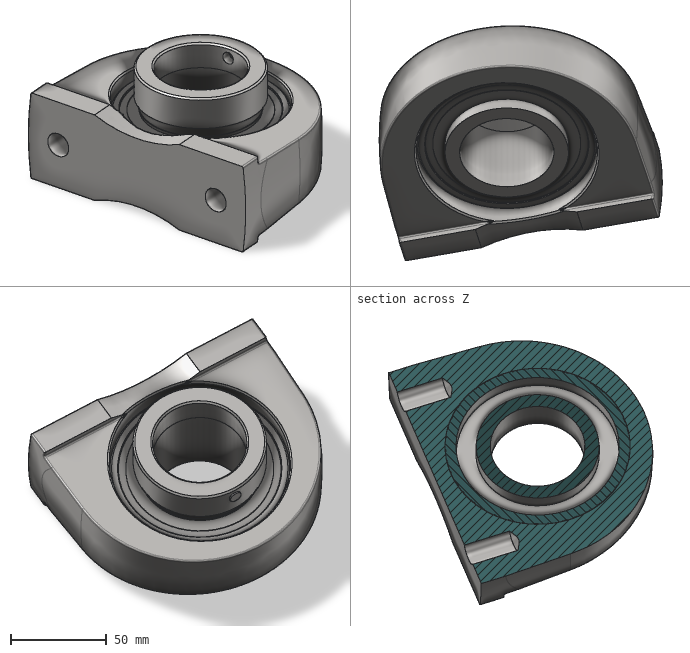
import cadquery as cq
import math


FOOT_WIDTH = 140.0
SHAFT_HEIGHT = 57.3
CROWN_Y = 59.8
CROWN_RADIUS = 68.9
CROWN_CENTER_Y = CROWN_Y - CROWN_RADIUS
FOOT_STEP_Y = -43.7
BODY_BULGE_RADIUS = 238.0
FOOT_BULGE_RADIUS = 189.0
CROWN_TO_STEP = CROWN_CENTER_Y - FOOT_STEP_Y
SIDE_TAPER = math.degrees(
    math.acos(CROWN_RADIUS / math.hypot(FOOT_WIDTH / 2, CROWN_TO_STEP))
    - math.atan2(CROWN_TO_STEP, FOOT_WIDTH / 2)
)

FOOT_HALF_THICKNESS = 25.6
BODY_HALF_AT_FOOT = 21.8
BODY_HALF_AT_CROWN = 15.4
EDGE_FILLET = 1.0
STEP_FILLET = 0.8

SCALLOP_HALF_WIDTH = 27.3
SCALLOP_DEPTH = 5.3
MOUNT_HOLE_DIAMETER = 13.5
MOUNT_HOLE_X = 50.7
MOUNT_HOLE_DEPTH = 25.2
DRILL_TIP_ANGLE = 118.0

SEAT_OPENING_DIAMETER = 94.8
SEAT_CHAMFER_DIAMETER = 96.6
SEAT_SPHERE_RADIUS = 48.5

OUTER_RING_HALF_WIDTH = 12.3
OUTER_RING_CHAMFER = 0.7
BORE_EDGE_CHAMFER = 0.4
SEAL_OUTER_DIAMETER = 85.1
SEAL_HUB_DIAMETER = 77.4
SEAL_THICKNESS = 2.1
SEAL_SETBACK = 0.4
SEAL_STEP = 0.4
INNER_RING_DIAMETER = 64.5
SHAFT_BORE_DIAMETER = 49.3
INNER_RING_BOTTOM_Z = -18.6
COLLAR_SEAT_Z = 13.7
INNER_RING_TOP_Z = 23.1
COLLAR_SEAT_DIAMETER = 59.4

COLLAR_DIAMETER = 69.9
COLLAR_NECK_DIAMETER = 65.2
COLLAR_BOTTOM_Z = 19.9
COLLAR_TOP_Z = 37.8
COLLAR_CHAMFER = 1.0

SCREW_DIAMETER = 6.7
SCREW_Z = 31.4
SCREW_INNER_Y = 30.1
SCREW_OUTER_Y = 35.7

OVERSIZE = 84.0


def cylinder(diameter, bottom_z, top_z):
    return cq.Workplane("XY").workplane(offset=bottom_z).circle(diameter / 2).extrude(top_z - bottom_z)


def ring(outer_diameter, inner_diameter, bottom_z, top_z):
    return cylinder(outer_diameter, bottom_z, top_z).cut(cylinder(inner_diameter, bottom_z, top_z))


def bulged_wall(half_width, bulge_radius, inner_x):
    """Cross-section in XZ from inner_x out to a barrel-shaped wall at half_width."""
    half_height = FOOT_HALF_THICKNESS
    sag = bulge_radius - math.sqrt(bulge_radius**2 - half_height**2)
    return (
        cq.Workplane("XZ")
        .moveTo(inner_x, -half_height)
        .lineTo(half_width - sag, -half_height)
        .threePointArc((half_width, 0), (half_width - sag, half_height))
        .lineTo(inner_x, half_height)
        .close()
    )


def outline_body():
    """Round end with tangent, slightly spreading sides, all barrel-shaped across the thickness."""
    body = bulged_wall(CROWN_RADIUS, BODY_BULGE_RADIUS, 0).revolve(360, (0, 0, 0), (0, 1, 0))
    side = bulged_wall(CROWN_RADIUS, BODY_BULGE_RADIUS, -CROWN_RADIUS / 4).extrude(OVERSIZE)
    side = side.rotate((0, 0, 0), (0, 0, 1), SIDE_TAPER)
    body = body.union(side).union(side.mirror("YZ"))
    return body.translate((0, CROWN_CENTER_Y, 0))


def thickness_profile():
    """Side profile: thick foot, then a body that thins toward the round end."""
    slope = (BODY_HALF_AT_FOOT - BODY_HALF_AT_CROWN) / (CROWN_Y - FOOT_STEP_Y)
    crown_z = BODY_HALF_AT_CROWN - slope * (OVERSIZE - CROWN_Y)
    upper = [
        (-SHAFT_HEIGHT, FOOT_HALF_THICKNESS),
        (FOOT_STEP_Y, FOOT_HALF_THICKNESS),
        (FOOT_STEP_Y, BODY_HALF_AT_FOOT),
        (OVERSIZE, crown_z),
    ]
    lower = [(y, -z) for y, z in reversed(upper)]
    return cq.Workplane("YZ").polyline(upper + lower).close().extrude(OVERSIZE, both=True)


def round_step_corners(profile):
    """Round the inner corners where the foot meets the body."""
    inner_corners = cq.selectors.BoxSelector(
        (-OVERSIZE * 2, FOOT_STEP_Y - 0.1, -BODY_HALF_AT_FOOT - 0.1),
        (OVERSIZE * 2, FOOT_STEP_Y + 0.1, BODY_HALF_AT_FOOT + 0.1),
    )
    return profile.edges(inner_corners).fillet(STEP_FILLET)


def foot_scallops():
    radius = (SCALLOP_HALF_WIDTH**2 + SCALLOP_DEPTH**2) / (2 * SCALLOP_DEPTH)
    center_z = FOOT_HALF_THICKNESS - SCALLOP_DEPTH + radius
    return (
        cq.Workplane("XZ", origin=(0, FOOT_STEP_Y + STEP_FILLET, 0))
        .pushPoints([(0, center_z), (0, -center_z)])
        .circle(radius)
        .extrude(OVERSIZE)
    )


def mounting_holes():
    radius = MOUNT_HOLE_DIAMETER / 2
    tip_length = radius / math.tan(math.radians(DRILL_TIP_ANGLE / 2))
    drill = (
        cq.Workplane("XY")
        .polyline([
            (0, -SHAFT_HEIGHT),
            (radius, -SHAFT_HEIGHT),
            (radius, MOUNT_HOLE_DEPTH - SHAFT_HEIGHT),
            (0, MOUNT_HOLE_DEPTH + tip_length - SHAFT_HEIGHT),
        ])
        .close()
        .revolve(360, (0, 0, 0), (0, 1, 0))
    )
    return drill.translate((-MOUNT_HOLE_X, 0, 0)).union(drill.translate((MOUNT_HOLE_X, 0, 0)))


def bearing_seat():
    seat = cylinder(SEAT_OPENING_DIAMETER, -OVERSIZE, OVERSIZE)
    return seat.union(cq.Workplane("XY").sphere(SEAT_SPHERE_RADIUS))


def round_outer_edges(blank):
    """Round the upper and lower edges that run around the outline, not those across the foot."""
    def is_outline_edge(edge):
        across = edge.geomType() == "LINE" and abs(edge.tangentAt(0).x) > 0.9
        return not across and abs(edge.Center().z) > BODY_HALF_AT_CROWN

    return blank.edges().filter(is_outline_edge).fillet(EDGE_FILLET)


def housing_shape(thickness):
    """Solid housing of the given thickness profile, before the seat and mounting holes."""
    foot_ends = bulged_wall(FOOT_WIDTH / 2, FOOT_BULGE_RADIUS, 0).extrude(OVERSIZE, both=True)
    foot_ends = foot_ends.union(foot_ends.mirror("YZ"))
    shape = outline_body().intersect(thickness).intersect(foot_ends)
    return round_outer_edges(shape).cut(foot_scallops())


def seat_mouth_waste():
    """Material that the chamfer removes around both mouths of the seat."""
    def is_mouth_edge(edge):
        ends = (edge.startPoint(), edge.endPoint())
        on_wall = all(
            abs(math.hypot(end.x, end.y) - SEAT_OPENING_DIAMETER / 2) < 0.01 for end in ends
        )
        return on_wall and min(abs(end.z) for end in ends) > BODY_HALF_AT_CROWN

    sharp = housing_shape(thickness_profile()).cut(bearing_seat())
    chamfer = (SEAT_CHAMFER_DIAMETER - SEAT_OPENING_DIAMETER) / 2
    return sharp.cut(sharp.edges().filter(is_mouth_edge).chamfer(chamfer))


def make_housing():
    housing = housing_shape(round_step_corners(thickness_profile()))
    housing = housing.cut(bearing_seat()).cut(seat_mouth_waste())
    return housing.cut(mounting_holes())


def make_outer_ring():
    ball = cq.Workplane("XY").sphere(SEAT_SPHERE_RADIUS)
    blank = ring(2 * SEAT_SPHERE_RADIUS, SEAL_OUTER_DIAMETER, -OUTER_RING_HALF_WIDTH, OUTER_RING_HALF_WIDTH)
    outer_ring = blank.intersect(ball)
    outer_ring = outer_ring.faces("|Z").edges(cq.selectors.RadiusNthSelector(-1)).chamfer(OUTER_RING_CHAMFER)
    return outer_ring.faces("|Z").edges(cq.selectors.RadiusNthSelector(0)).chamfer(BORE_EDGE_CHAMFER)


def make_seal(side):
    """Seal at the upper (side = 1) or lower (side = -1) end of the bearing."""
    top_z = OUTER_RING_HALF_WIDTH - SEAL_SETBACK
    bottom_z = top_z - SEAL_THICKNESS
    seal = ring(SEAL_OUTER_DIAMETER, INNER_RING_DIAMETER, bottom_z, top_z - SEAL_STEP)
    seal = seal.union(ring(SEAL_HUB_DIAMETER, INNER_RING_DIAMETER, bottom_z, top_z))
    return seal if side > 0 else seal.mirror("XY")


def make_inner_ring():
    body = cylinder(INNER_RING_DIAMETER, INNER_RING_BOTTOM_Z, COLLAR_SEAT_Z)
    collar_seat = cylinder(COLLAR_SEAT_DIAMETER, COLLAR_SEAT_Z, INNER_RING_TOP_Z)
    bore = cylinder(SHAFT_BORE_DIAMETER, INNER_RING_BOTTOM_Z, INNER_RING_TOP_Z)
    return body.union(collar_seat).cut(bore)


def make_set_screw():
    return (
        cq.Workplane("XZ", origin=(0, SCREW_OUTER_Y, SCREW_Z))
        .circle(SCREW_DIAMETER / 2)
        .extrude(SCREW_OUTER_Y - SCREW_INNER_Y)
    )


def make_collar():
    collar = cylinder(COLLAR_DIAMETER, COLLAR_BOTTOM_Z, COLLAR_TOP_Z)
    collar = collar.cut(cylinder(SHAFT_BORE_DIAMETER, COLLAR_BOTTOM_Z, COLLAR_TOP_Z))
    collar = collar.faces(">Z").edges().chamfer(COLLAR_CHAMFER)
    neck = cylinder(COLLAR_NECK_DIAMETER, COLLAR_SEAT_Z, COLLAR_BOTTOM_Z)
    screw_hole = (
        cq.Workplane("XZ", origin=(0, 0, SCREW_Z)).circle(SCREW_DIAMETER / 2).extrude(-OVERSIZE)
    )
    seat = cylinder(COLLAR_SEAT_DIAMETER, COLLAR_SEAT_Z, INNER_RING_TOP_Z)
    return collar.union(neck).cut(seat).cut(screw_hole)


housing = make_housing()
outer_ring = make_outer_ring()
inner_ring = make_inner_ring()
seals = [make_seal(side) for side in (1, -1)]
collar = make_collar()
set_screw = make_set_screw()

result = cq.Compound.makeCompound([
    housing.val(),
    outer_ring.val(),
    inner_ring.val(),
    *[seal.val() for seal in seals],
    collar.val(),
    set_screw.val(),
])